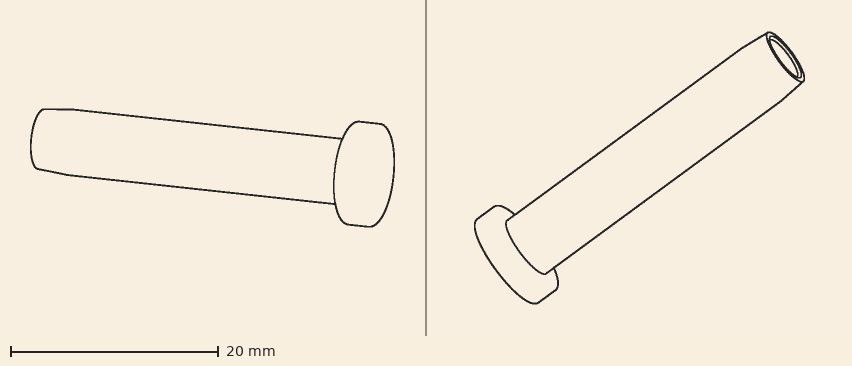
import cadquery as cq
import math

total_length = 35.0
head_diameter = 10.0
shank_diameter = 6.35
bore_diameter = 4.4

head_height = 3.0
dome_height = 0.5
tip_length = 3.0
bore_depth = 25.0

head_fillet = 0.25
bore_chamfer = 0.25

tip_taper_angle = 5.0
drill_point_angle = 118.0

tip_end_x = -total_length / 2
shank_start_x = tip_end_x + tip_length
head_top_x = total_length / 2
head_base_x = head_top_x - head_height

head_radius = head_diameter / 2
shank_radius = shank_diameter / 2
tip_radius = shank_radius - tip_length * math.tan(math.radians(tip_taper_angle))
bore_radius = bore_diameter / 2


def revolve_about_x(profile):
    """Turn a closed half-profile in the XZ plane fully around the X axis."""
    return profile.close().revolve(360, (0, 0, 0), (1, 0, 0))


def polar_point(center_x, center_r, radius, angle):
    """Point on an arc of the half-profile, with the angle measured from +X."""
    return (center_x + radius * math.cos(angle), center_r + radius * math.sin(angle))


def make_body():
    """Tapered tip, straight shank and round head with rounded edges and a domed face."""
    dome_radius = (head_radius**2 + dome_height**2) / (2 * dome_height)
    dome_center_x = head_top_x - dome_radius

    fillet_center_r = head_radius - head_fillet
    center_distance = dome_radius - head_fillet
    rim_angle = math.asin(fillet_center_r / center_distance)
    rim_fillet_center_x = dome_center_x + center_distance * math.cos(rim_angle)
    rim_fillet_mid_angle = (rim_angle + math.pi / 2) / 2

    def rim_fillet_point(angle):
        return polar_point(rim_fillet_center_x, fillet_center_r, head_fillet, angle)

    base_fillet_center_x = head_base_x + head_fillet
    base_fillet_mid = polar_point(base_fillet_center_x, fillet_center_r, head_fillet, 3 * math.pi / 4)

    profile = (
        cq.Workplane("XZ")
        .moveTo(tip_end_x, 0)
        .lineTo(tip_end_x, tip_radius)
        .lineTo(shank_start_x, shank_radius)
        .lineTo(head_base_x, shank_radius)
        .lineTo(head_base_x, fillet_center_r)
        .threePointArc(base_fillet_mid, (base_fillet_center_x, head_radius))
        .lineTo(rim_fillet_center_x, head_radius)
        .threePointArc(rim_fillet_point(rim_fillet_mid_angle), rim_fillet_point(rim_angle))
        .threePointArc(polar_point(dome_center_x, 0, dome_radius, rim_angle / 2), (head_top_x, 0))
    )
    return revolve_about_x(profile)


def make_bore():
    """Blind bore from the tip end with a chamfered mouth and a conical bottom."""
    bore_end_x = tip_end_x + bore_depth
    point_depth = bore_radius / math.tan(math.radians(drill_point_angle / 2))
    profile = (
        cq.Workplane("XZ")
        .moveTo(tip_end_x, 0)
        .lineTo(tip_end_x, bore_radius + bore_chamfer)
        .lineTo(tip_end_x + bore_chamfer, bore_radius)
        .lineTo(bore_end_x, bore_radius)
        .lineTo(bore_end_x + point_depth, 0)
    )
    return revolve_about_x(profile)


result = make_body().cut(make_bore())